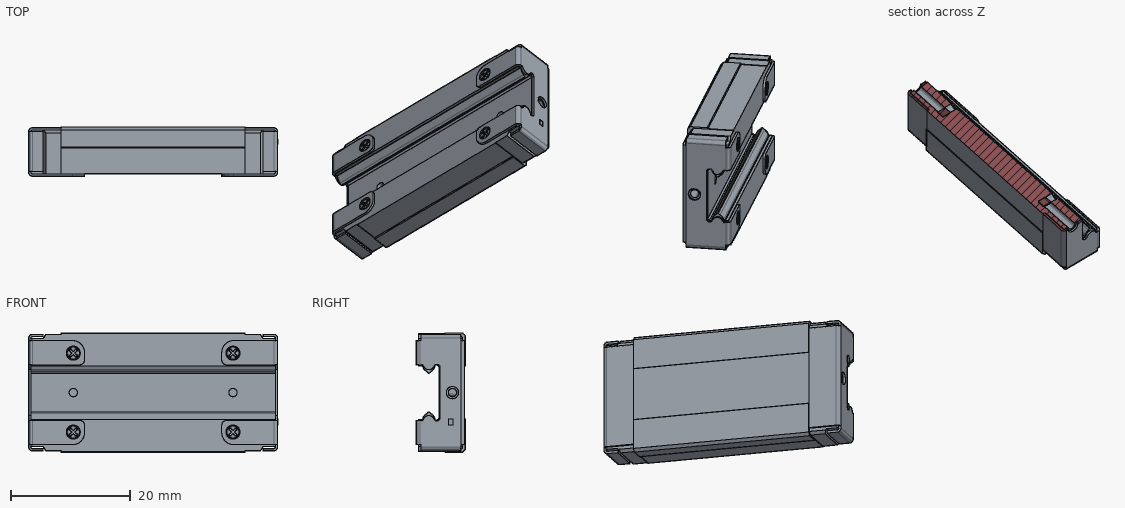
import cadquery as cq
import math


total_height = 8.25
plate_half_length = 20.83
sheet = 0.4
bend_outer = 0.65
bend_inner = bend_outer - sheet

block_bottom = sheet
block_half_length = plate_half_length - sheet
steel_half_length = 15.4
steel_half_width = 10.0
skirt_half_width = 9.85
skirt_top = 4.9
step = steel_half_width - skirt_half_width
block_chamfer = 0.5
mount_relief_half_width = 4.45

plate_top = 8.13
mount_relief_depth = total_height - plate_top
cap_top = plate_top - sheet
cap_half_width = 9.75
cap_end_half_width = 9.05
cap_slope_start = 17.95
cap_slope_end = 18.4

floor_y = 3.85
floor_corner = 0.3
foot_y = 0.87
foot_half_width = 4.47
groove_z = 4.6
ridge_y = 2.13
crest_z = 3.22
crest_half_flat = 0.06
facet = 0.3
flank_mid = (0.85, 3.97)
flank_half_width = 1.07

web_floor_y = 3.98
web_groove_z = 4.72
web_foot_y = 0.95
web_foot_half_width = 4.65
web_crest_z = 3.83
web_arc_half_width = 0.8
web_arc_end_z = 4.3
web_ridge_half_width = 1.1

fold_half_width = 8.7
side_flange_low = 0.8
side_flange_high = 7.5
side_flange_length = 2.45
top_flange_length = plate_half_length - steel_half_length
tab_length = 9.36
tab_outer_radius = 2.0
tab_inner_radius = 0.8

screw_x = 13.35
screw_z = 6.6
sink_radius = 1.17
head_recess = 0.15
shank_radius = 0.6
head_bottom = sink_radius - shank_radius
screw_tip = 3.0
cross_length = 1.75
cross_width = 0.35
cross_depth = 0.25

port_y = 6.08
port_radius = 0.7
port_clearance_radius = 1.03
plug_radius = port_radius
plug_overlap = 0.1
plug_start = port_y - port_radius - plug_overlap
plug_end = port_y + port_radius + plug_overlap

pad_height = 0.04
pad_y = 5.8
pad_z = -4.9
pad_size_y = 0.75
pad_size_z = 1.0


def box(x0, x1, y0, y1, z0, z1):
    """Axis-aligned box from its limits."""
    return cq.Workplane("XY").box(x1 - x0, y1 - y0, z1 - z0, centered=False).translate((x0, y0, z0))


def along_x(half_length, outline):
    """Extrude a closed YZ outline symmetrically along X."""
    return outline.close().extrude(half_length, both=True)


def y_cylinder(radius, y0, y1, x, z):
    """Cylinder along +Y."""
    solid = cq.Solid.makeCylinder(radius, y1 - y0, cq.Vector(x, y0, z), cq.Vector(0, 1, 0))
    return cq.Workplane(obj=solid)


def y_cone(radius0, radius1, y0, y1, x, z):
    """Truncated cone along +Y."""
    solid = cq.Solid.makeCone(radius0, radius1, y1 - y0, cq.Vector(x, y0, z), cq.Vector(0, 1, 0))
    return cq.Workplane(obj=solid)


def x_cylinder(radius, x0, x1, y):
    """Cylinder along X, centred on Z = 0."""
    return cq.Workplane("YZ").center(y, 0).circle(radius).extrude(x1 - x0).translate((x0, 0, 0))


def screw_blank(x, z, start):
    """Countersunk screw shape from height start to its tip; from zero it is the seat."""
    head = y_cone(sink_radius - start, shank_radius, start, head_bottom, x, z)
    return head.union(y_cylinder(shank_radius, head_bottom, screw_tip, x, z))


def both_sides(half):
    """A half shape joined with its mirror image across Z = 0."""
    return half.union(half.mirror("XY"))


def channel_cutter():
    """Rail channel of the block, with a pointed retaining ridge on each side."""
    facet_offset = crest_half_flat + facet
    facet_z = crest_z + facet
    flank_offset, flank_z = flank_mid
    half = (
        cq.Workplane("YZ")
        .moveTo(0, 0)
        .lineTo(floor_y, 0)
        .lineTo(floor_y, groove_z - floor_corner)
        .lineTo(floor_y - floor_corner, groove_z)
        .lineTo(ridge_y + flank_half_width, groove_z)
        .threePointArc((ridge_y + flank_offset, flank_z), (ridge_y + facet_offset, facet_z))
        .lineTo(ridge_y + crest_half_flat, crest_z)
        .lineTo(ridge_y - crest_half_flat, crest_z)
        .lineTo(ridge_y - facet_offset, facet_z)
        .threePointArc((ridge_y - flank_offset, flank_z), (ridge_y - flank_half_width, groove_z))
        .lineTo(foot_y, foot_half_width)
        .lineTo(0, foot_half_width)
    )
    return both_sides(along_x(plate_half_length, half))


def web_channel_cutter():
    """Rail channel of the end plates, with a rounded ridge on each side."""
    half = (
        cq.Workplane("YZ")
        .moveTo(0, 0)
        .lineTo(web_floor_y, 0)
        .lineTo(web_floor_y, web_groove_z - floor_corner)
        .lineTo(web_floor_y - floor_corner, web_groove_z)
        .lineTo(ridge_y + web_ridge_half_width, web_groove_z)
        .lineTo(ridge_y + web_arc_half_width, web_arc_end_z)
        .threePointArc((ridge_y, web_crest_z), (ridge_y - web_arc_half_width, web_arc_end_z))
        .lineTo(ridge_y - web_ridge_half_width, web_groove_z)
        .lineTo(web_foot_y, web_foot_half_width)
        .lineTo(0, web_foot_half_width)
    )
    return both_sides(along_x(plate_half_length, half))


def middle_section():
    """Full-width centre of the block with its narrower skirt."""
    half = (
        cq.Workplane("YZ")
        .moveTo(block_bottom, 0)
        .lineTo(block_bottom, skirt_half_width)
        .lineTo(skirt_top - step, skirt_half_width)
        .lineTo(skirt_top, steel_half_width)
        .lineTo(total_height - block_chamfer, steel_half_width)
        .lineTo(total_height, steel_half_width - block_chamfer)
        .lineTo(total_height, mount_relief_half_width)
        .lineTo(total_height - mount_relief_depth, mount_relief_half_width)
        .lineTo(total_height - mount_relief_depth, 0)
    )
    return both_sides(along_x(steel_half_length, half))


def end_sections():
    """Lower, narrower body that reaches the end plates at both ends."""
    half = (
        cq.Workplane("YZ")
        .moveTo(block_bottom, 0)
        .lineTo(block_bottom, cap_half_width)
        .lineTo(cap_top - block_chamfer, cap_half_width)
        .lineTo(cap_top, cap_half_width - block_chamfer)
        .lineTo(cap_top, 0)
    )
    section = both_sides(along_x(block_half_length, half))
    outline = (
        cq.Workplane("XZ")
        .moveTo(0, 0)
        .lineTo(0, cap_half_width)
        .lineTo(cap_slope_start, cap_half_width)
        .lineTo(cap_slope_end, cap_end_half_width)
        .lineTo(block_half_length, cap_end_half_width)
        .lineTo(block_half_length, 0)
        .close()
        .extrude(-total_height)
    )
    right_half = both_sides(outline)
    plan = right_half.union(right_half.mirror("YZ"))
    section = section.intersect(plan)
    return section.faces("<X or >X").edges("<Y or >Y").fillet(bend_inner)


def make_block():
    """Carriage body with its rail channel, ports and screw seats."""
    block = middle_section().union(end_sections()).cut(channel_cutter())
    for side in (-1, 1):
        x = side * screw_x
        port_start, port_end = sorted((x, side * block_half_length))
        block = block.cut(x_cylinder(port_radius, port_start, port_end, port_y))
        block = block.cut(y_cylinder(plug_radius, 0, plug_end, x, 0))
        for z in (-screw_z, screw_z):
            block = block.cut(screw_blank(x, z, 0))
    return block


def folded_sheet():
    """Upper and lower folds of the -X plate, with the lower one still full width."""
    outer_x = -plate_half_length
    inner_x = outer_x + sheet
    bend_x = outer_x + bend_outer
    cos45 = math.cos(math.pi / 4)
    outer_mid = bend_outer * (1 - cos45)
    inner_mid = sheet + bend_inner * (1 - cos45)
    tab_end = outer_x + tab_length
    top_end = outer_x + top_flange_length
    return (
        cq.Workplane("XY")
        .moveTo(tab_end, 0)
        .lineTo(bend_x, 0)
        .threePointArc((outer_x + outer_mid, outer_mid), (outer_x, bend_outer))
        .lineTo(outer_x, plate_top - bend_outer)
        .threePointArc((outer_x + outer_mid, plate_top - outer_mid), (bend_x, plate_top))
        .lineTo(top_end, plate_top)
        .lineTo(top_end, plate_top - sheet)
        .lineTo(bend_x, plate_top - sheet)
        .threePointArc((outer_x + inner_mid, plate_top - inner_mid), (inner_x, plate_top - bend_outer))
        .lineTo(inner_x, bend_outer)
        .threePointArc((outer_x + inner_mid, inner_mid), (bend_x, sheet))
        .lineTo(tab_end, sheet)
        .close()
        .extrude(fold_half_width, both=True)
    )


def side_flanges():
    """Web and bent side flanges of the -X plate."""
    start = -plate_half_length
    end = start + side_flange_length
    outer = box(start, end, side_flange_low, side_flange_high, -cap_half_width, cap_half_width)
    outer = outer.edges("|Y and <X").fillet(bend_outer)
    inner_width = cap_half_width - sheet
    inner = box(start + sheet, end, side_flange_low, side_flange_high, -inner_width, inner_width)
    inner = inner.edges("|Y and <X").fillet(bend_inner)
    return outer.cut(inner)


def tab_corner(z):
    """Selector for one corner edge of the lower fold's end."""
    x = tab_length - plate_half_length
    return cq.selectors.BoxSelector((x - sheet, 0, z - sheet), (x + sheet, sheet, z + sheet))


def make_plate():
    """End plate at -X."""
    plate = folded_sheet().union(side_flanges()).cut(web_channel_cutter())
    for side in (-1, 1):
        outer_corner = tab_corner(side * fold_half_width)
        inner_corner = tab_corner(side * web_foot_half_width)
        plate = plate.edges(outer_corner).edges("|Y").fillet(tab_outer_radius)
        plate = plate.edges(inner_corner).edges("|Y").fillet(tab_inner_radius)
        plate = plate.cut(screw_blank(-screw_x, side * screw_z, 0))
    port = x_cylinder(port_clearance_radius, -plate_half_length, -block_half_length, port_y)
    return plate.cut(port)


def make_pad():
    """Thin rectangular pad on the outer face of the +X plate."""
    pad = box(0, pad_height, 0, pad_size_y, 0, pad_size_z)
    return pad.translate((plate_half_length, pad_y - pad_size_y / 2, pad_z - pad_size_z / 2))


def make_screw(x, z):
    """Countersunk screw with a cross recess turned 45 degrees."""
    slot_depth = head_recess + cross_depth
    slot = box(-cross_length / 2, cross_length / 2, 0, slot_depth, -cross_width / 2, cross_width / 2)
    screw = screw_blank(x, z, head_recess)
    for angle in (45, -45):
        screw = screw.cut(slot.rotate((0, 0, 0), (0, 1, 0), angle).translate((x, 0, z)))
    return screw


def make_plug(x):
    """Round plug deep in the bore above the channel floor, closing the port."""
    return y_cylinder(plug_radius, plug_start, plug_end, x, 0)


block = make_block()
left_plate = make_plate()
right_plate = left_plate.mirror("YZ").union(make_pad())
screws = [make_screw(x, z).val() for x in (-screw_x, screw_x) for z in (-screw_z, screw_z)]
plugs = [make_plug(x).val() for x in (-screw_x, screw_x)]

result = cq.Compound.makeCompound([block.val(), left_plate.val(), right_plate.val(), *screws, *plugs])